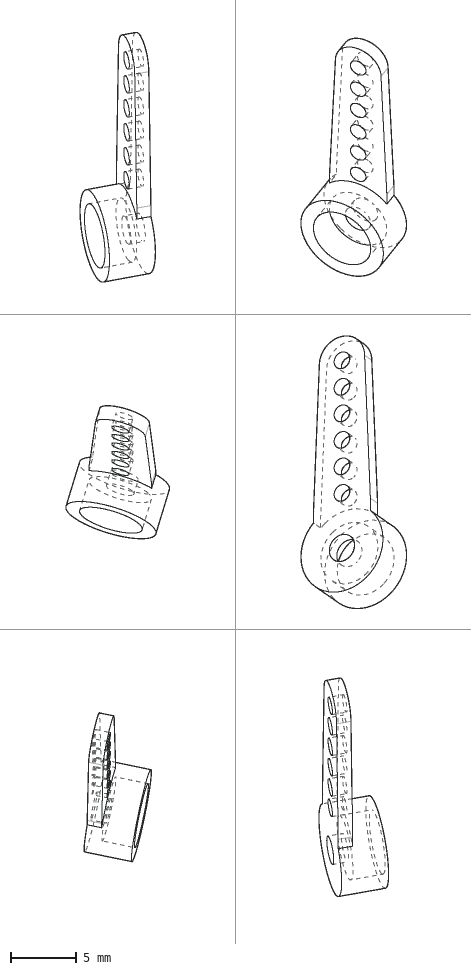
import cadquery as cq

hub_diameter = 7.2
hub_depth = 3.7
bore_diameter = 5.0
bore_depth = 2.55
screw_hole_diameter = 2.2

overall_height = 21.2
arm_thickness = 1.15
tip_radius = 2.0

link_hole_diameter = 1.35
link_hole_count = 6
link_hole_pitch = 2.2

hub_radius = hub_diameter / 2
root_half_width = bore_diameter / 2
tip_top = overall_height - hub_radius
tip_center = tip_top - tip_radius


def cylinder_along_y(diameter, length, z=0):
    """Cylinder starting at the front plane Y = 0 and running toward +Y."""
    return cq.Workplane("XZ").center(0, z).circle(diameter / 2).extrude(-length)


def make_arm():
    """Plate with straight sides beside the hub, a taper above it and a round tip."""
    return (
        cq.Workplane("XZ", origin=(0, hub_depth - arm_thickness, 0))
        .moveTo(-root_half_width, 0)
        .lineTo(-root_half_width, hub_radius)
        .lineTo(-tip_radius, tip_center)
        .threePointArc((0, tip_top), (tip_radius, tip_center))
        .lineTo(root_half_width, hub_radius)
        .lineTo(root_half_width, 0)
        .close()
        .extrude(-arm_thickness)
    )


result = cylinder_along_y(hub_diameter, hub_depth).union(make_arm())
result = result.cut(cylinder_along_y(bore_diameter, bore_depth))
result = result.cut(cylinder_along_y(screw_hole_diameter, hub_depth))

for index in range(link_hole_count):
    hole_z = tip_center - index * link_hole_pitch
    result = result.cut(cylinder_along_y(link_hole_diameter, hub_depth, hole_z))